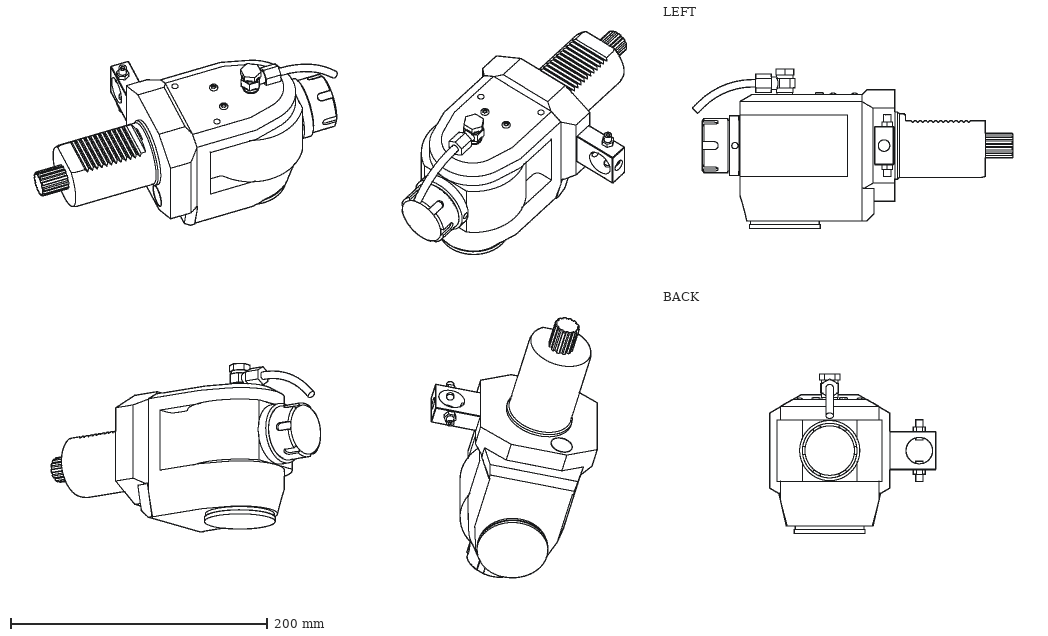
import cadquery as cq
import math


flange_half_width = 47.0
flange_half_height = 43.65
flange_corner_x = 22.4
flange_corner_z = 29.3
flange_depth = 25.6
round_recess_diameter = 17.0
round_recess_depth = 0.4
round_recess_x = 18.3
round_recess_z = -32.0

body_half_width = 38.5
body_top = 40.0
body_bevel_start = 34.6
body_taper_start = -39.0
body_bottom = -58.9
body_rear = 10.0
body_wall_end = 75.5
nose_half_width = 32.8
nose_start = 95.6
nose_end = 121.1
bevel_angle = 60.0
taper_angle = 15.0

foot_rear = 16.2
foot_top = -33.0
foot_chamfer = 5.7
foot_slope_angle = 12.8

spindle_y = 86.0
housing_radius = 41.0
housing_half_height = 24.0
recess_rear = 37.0
recess_floor_x = 23.5
recess_fillet = 5.0
cover_diameter = 55.4
cover_step_diameter = 54.0
cover_step_height = 2.7
cover_bottom = -64.9

ring_diameter = 47.0
ring_start = 121.8
ring_end = 129.2
ring_hole_diameter = 4.9
ring_hole_depth = 4.0
ring_hole_y = 125.0
neck_diameter = 40.0
nut_diameter = 42.6
nut_start = 130.4
nut_end = 150.6
nut_chamfer_length = 1.4
nut_chamfer_depth = 2.0
nut_slot_count = 6
nut_slot_width = 6.2
nut_slot_depth = 2.0
nut_slot_length = 12.6

collar_diameter = 52.6
collar_length = 2.2
collar_cone_length = 1.2
shank_diameter = 50.0
shank_length = 70.6
shank_tip_length = 3.0
shank_tip_depth = 0.8
flat_height = 19.6
flat_start = 8.4
relief_height = 24.2
relief_start = 7.4
rack_groove_count = 12
rack_first_groove = 13.8
rack_pitch = 4.0
rack_groove_depth = 1.5
spline_diameter = 19.6
spline_root_diameter = 16.6
spline_teeth = 12
spline_gap_top_share = 0.64
spline_gap_root_share = 0.36
spline_end = 92.4
spline_chamfer = 0.8

bracket_end = 83.0
bracket_half_height = 15.0
bracket_front = 0.9
bracket_back = 16.0
bracket_chamfer = 0.5
bracket_bore = 20.6
bracket_bore_x = -70.0
cross_hole_diameter = 9.0
cross_hole_y = 8.5
cross_hole_end_x = -57.0
clamp_screw_y = 6.0
clamp_screw_diameter = 5.8
clamp_screw_tip = 8.2
clamp_screw_head = 24.3
clamp_nut_corners = 9.6
clamp_nut_height = 3.6
clamp_socket_corners = 3.2
clamp_socket_depth = 2.5

fitting_base_diameter = 13.0
fitting_seat_diameter = 12.3
fitting_seat_height = 1.3
fitting_hex_corners = 16.3
fitting_hex_bottom = 45.0
fitting_hex_top = 52.6
fitting_cap_bottom = 55.0
fitting_top = 60.0
hose_z = 48.7
hose_stem_diameter = 10.0
hose_nut_start = 96.5
hose_nut_end = 108.8
hose_nut_corners = 14.6
hose_diameter = 6.0
hose_bend_start = 111.0
hose_bend_radius = 57.2
hose_bend_angle = 45.0
hose_tip_length = 6.65

top_screw_x = 10.7
top_screw_y = 59.0
top_screw_diameter = 6.4
top_screw_height = 1.3
top_screw_socket = 3.6
top_screw_rounding = 0.8
pin_diameter = 5.0
pin_height = 1.2
pin_places = [(23.4, 48.3), (-23.4, 31.5)]


def cylinder_y(diameter, start, end, x=0.0, z=0.0):
    """Round bar along +Y between two Y positions."""
    plane = cq.Plane(origin=(x, start, z), xDir=(1, 0, 0), normal=(0, 1, 0))
    return cq.Workplane(plane).circle(diameter / 2).extrude(end - start)


def cylinder_z(diameter, bottom, top, x=0.0, y=0.0):
    """Round bar along +Z between two heights."""
    return cq.Workplane(origin=(x, y, bottom)).circle(diameter / 2).extrude(top - bottom)


def hexagon_z(corners, bottom, top, x, y, turn=0.0):
    """Hexagonal bar along +Z; its corners lie on X unless it is turned."""
    bar = cq.Workplane(origin=(x, y, bottom)).polygon(6, corners).extrude(top - bottom)
    return bar.rotate((x, y, 0), (x, y, 1), turn)


def block(x_range, y_range, z_range):
    """Box given by its limits along each axis."""
    size = [limits[1] - limits[0] for limits in (x_range, y_range, z_range)]
    corner = cq.Vector(x_range[0], y_range[0], z_range[0])
    return cq.Workplane(cq.Solid.makeBox(*size, pnt=corner))


def make_flange():
    """Octagonal flange, beveled at 45 degrees toward the head until it meets the head's walls."""
    w = flange_half_width
    h = flange_half_height
    cx = flange_corner_x
    cz = flange_corner_z
    outline = [(-cx, h), (cx, h), (w, cz), (w, -cz), (cx, -h), (-cx, -h), (-w, -cz), (-w, cz)]
    flange = cq.Workplane("XZ").polyline(outline).close().extrude(-flange_depth)

    side_bevel = w - body_half_width
    side_depth = flange_depth - side_bevel
    side_limit = (
        cq.Workplane("XY")
        .polyline([
            (-w, 0), (w, 0), (w, side_depth), (w - side_bevel, flange_depth),
            (side_bevel - w, flange_depth), (-w, side_depth),
        ])
        .close()
        .extrude(h, both=True)
    )
    top_bevel = h - body_top
    top_depth = flange_depth - top_bevel
    top_limit = (
        cq.Workplane("YZ")
        .polyline([
            (0, -h), (0, h), (top_depth, h), (flange_depth, h - top_bevel),
            (flange_depth, top_bevel - h), (top_depth, -h),
        ])
        .close()
        .extrude(w, both=True)
    )
    round_recess = cylinder_y(round_recess_diameter, 0, round_recess_depth, round_recess_x, round_recess_z)
    return flange.intersect(side_limit).intersect(top_limit).cut(round_recess)


def head_outline(height):
    """Plan outline of the head: straight walls, converging walls and a round nose."""
    return (
        cq.Workplane(origin=(0, 0, height))
        .moveTo(-body_half_width, body_rear)
        .lineTo(body_half_width, body_rear)
        .lineTo(body_half_width, body_wall_end)
        .lineTo(nose_half_width, nose_start)
        .threePointArc((0, nose_end), (-nose_half_width, nose_start))
        .lineTo(-body_half_width, body_wall_end)
        .close()
    )


def make_body():
    """Head body with a beveled top and a tapered lower part."""
    middle = head_outline(body_taper_start).extrude(body_bevel_start - body_taper_start)
    top = head_outline(body_bevel_start).extrude(body_top - body_bevel_start, taper=bevel_angle)
    lower = head_outline(body_taper_start).extrude(
        body_bottom - body_taper_start, taper=taper_angle
    )
    behind_head = block(
        (-flange_half_width, flange_half_width), (0, flange_depth), (body_bottom, body_top)
    )
    return middle.union(top).union(lower).cut(behind_head)


def make_foot():
    """Tapered foot that carries the head's lower sides down below the flange."""
    slope = math.tan(math.radians(foot_slope_angle))
    top_half = body_half_width + (foot_top - body_taper_start) * slope
    bottom_half = body_half_width - (body_taper_start - body_bottom) * slope
    foot = (
        cq.Workplane("XZ", origin=(0, foot_rear, 0))
        .polyline([
            (-top_half, foot_top), (top_half, foot_top),
            (bottom_half, body_bottom), (-bottom_half, body_bottom),
        ])
        .close()
        .extrude(foot_rear - flange_depth)
    )
    return foot.faces("<Z").edges("<Y").chamfer(foot_chamfer)


def make_housing():
    """Round spindle housing, flattened where the collet ring seats."""
    housing = cylinder_z(2 * housing_radius, -housing_half_height, housing_half_height, 0, spindle_y)
    r = housing_radius
    h = housing_half_height
    return housing.intersect(block((-r, r), (spindle_y - r, nose_end), (-h, h)))


def make_side_recess():
    """Pocket in the -X wall, running from its rear end up to the housing's round wall."""
    h = housing_half_height
    pocket = block((-housing_radius - 1, -recess_floor_x), (recess_rear, spindle_y), (-h, h))
    pocket = pocket.cut(cylinder_z(2 * housing_radius, -h, h, 0, spindle_y))
    return pocket.edges("|Z and >X").fillet(recess_fillet)


def make_cover():
    """Stepped round cover under the spindle."""
    step_bottom = body_bottom - cover_step_height
    step = cylinder_z(cover_step_diameter, step_bottom, body_bottom, 0, spindle_y)
    return step.union(cylinder_z(cover_diameter, cover_bottom, step_bottom, 0, spindle_y))


def make_nut_slot(angle):
    """Spanner slot with a round inner end, turned about the Y axis."""
    radius = nut_diameter / 2
    round_y = nut_end - nut_slot_length + nut_slot_width / 2
    bottom = radius - nut_slot_depth
    slot = block((-nut_slot_width / 2, nut_slot_width / 2), (round_y, nut_end), (bottom, radius))
    slot = slot.union(cylinder_z(nut_slot_width, bottom, radius, 0, round_y))
    return slot.rotate((0, 0, 0), (0, 1, 0), angle)


def make_collet_nut():
    """Collet nut and a ring with a radial hole, both on a narrower neck."""
    r = nut_diameter / 2
    nut = (
        cq.Workplane("XY")
        .polyline([
            (0, nut_start), (r, nut_start), (r, nut_end - nut_chamfer_length),
            (r - nut_chamfer_depth, nut_end), (0, nut_end),
        ])
        .close()
        .revolve(360, (0, 0, 0), (0, 1, 0))
    )
    pitch = 360 / nut_slot_count
    for index in range(nut_slot_count):
        nut = nut.cut(make_nut_slot(pitch * (index + 0.5)))

    ring = cylinder_y(ring_diameter, ring_start, ring_end)
    ring_hole = (
        cq.Workplane("YZ", origin=(-ring_diameter / 2, ring_hole_y, 0))
        .circle(ring_hole_diameter / 2)
        .extrude(ring_hole_depth)
    )
    neck = cylinder_y(neck_diameter, nose_end, nut_start)
    return ring.cut(ring_hole).union(neck).union(nut)


def make_shank():
    """Round shank with a collar, a stepped flat and V-grooves across the flat."""
    r = shank_diameter / 2
    collar_r = collar_diameter / 2
    shank = (
        cq.Workplane("XY")
        .polyline([
            (0, 0), (collar_r, 0), (collar_r, -collar_length),
            (r, -collar_length - collar_cone_length), (r, shank_tip_length - shank_length),
            (r - shank_tip_depth, -shank_length), (0, -shank_length),
        ])
        .close()
        .revolve(360, (0, 0, 0), (0, 1, 0))
    )
    shank = shank.cut(block((-r, r), (-shank_length, -flat_start), (flat_height, r)))
    shank = shank.cut(block((-r, r), (-flat_start, -relief_start), (relief_height, r)))
    d = rack_groove_depth
    for index in range(rack_groove_count):
        y = -rack_first_groove - index * rack_pitch
        groove = (
            cq.Workplane("YZ")
            .polyline([(y - d, flat_height), (y, flat_height - d), (y + d, flat_height)])
            .close()
            .extrude(r, both=True)
        )
        shank = shank.cut(groove)
    return shank


def make_spline():
    """Toothed drive end of the shank."""
    bar = cylinder_y(spline_diameter, -spline_end, -shank_length).faces("<Y").chamfer(spline_chamfer)
    pitch = 2 * math.pi / spline_teeth
    outer = spline_diameter / 2
    root = spline_root_diameter / 2
    half_top = spline_gap_top_share * pitch / 2
    half_root = spline_gap_root_share * pitch / 2
    gap = (
        cq.Workplane("XZ", origin=(0, -shank_length, 0))
        .polyline([
            (root * math.sin(-half_root), root), (root * math.sin(half_root), root),
            (outer * math.sin(half_top), outer), (outer * math.sin(-half_top), outer),
        ])
        .close()
        .extrude(spline_end - shank_length)
    )
    for index in range(spline_teeth):
        bar = bar.cut(gap.rotate((0, 0, 0), (0, 1, 0), index * 360 / spline_teeth))
    return bar


def make_clamp_screw():
    """Upper clamp screw with its lock nut, reaching into the bracket's bore."""
    x = bracket_bore_x
    y = clamp_screw_y
    screw = cylinder_z(clamp_screw_diameter, clamp_screw_tip, clamp_screw_head, x, y)
    socket_bottom = clamp_screw_head - clamp_socket_depth
    screw = screw.cut(hexagon_z(clamp_socket_corners, socket_bottom, clamp_screw_head, x, y))
    nut_top = bracket_half_height + clamp_nut_height
    return screw.union(hexagon_z(clamp_nut_corners, bracket_half_height, nut_top, x, y))


def make_bracket():
    """Clamp bracket with a bore, a cross hole and two opposed clamp screws."""
    h = bracket_half_height
    bracket = block((-bracket_end, -flange_half_width), (bracket_front, bracket_back), (-h, h))
    bracket = bracket.edges("|X").chamfer(bracket_chamfer)
    bracket = bracket.faces("<X").chamfer(bracket_chamfer)
    bracket = bracket.cut(cylinder_y(bracket_bore, bracket_front, bracket_back, bracket_bore_x))
    cross_hole = (
        cq.Workplane("YZ", origin=(-bracket_end, cross_hole_y, 0))
        .circle(cross_hole_diameter / 2)
        .extrude(bracket_end + cross_hole_end_x)
    )
    screw = make_clamp_screw()
    return bracket.cut(cross_hole).union(screw).union(screw.mirror("XY"))


def make_coolant_fitting():
    """Banjo fitting on the top face with a bent hose over the collet nut."""
    seat_top = body_top + fitting_seat_height
    seat = cylinder_z(fitting_seat_diameter, body_top, seat_top, 0, spindle_y)
    fitting = seat.union(cylinder_z(fitting_base_diameter, seat_top, fitting_cap_bottom, 0, spindle_y))
    middle = hexagon_z(fitting_hex_corners, fitting_hex_bottom, fitting_hex_top, 0, spindle_y, 90)
    cap = hexagon_z(fitting_hex_corners, fitting_cap_bottom, fitting_top, 0, spindle_y)
    stem = cylinder_y(hose_stem_diameter, spindle_y, hose_nut_start, 0, hose_z)
    nut_plane = cq.Plane(origin=(0, hose_nut_start, hose_z), xDir=(0, 0, 1), normal=(0, 1, 0))
    hose_nut = cq.Workplane(nut_plane).polygon(6, hose_nut_corners).extrude(hose_nut_end - hose_nut_start)
    fitting = fitting.union(middle).union(cap).union(stem).union(hose_nut)

    def bend_point(angle):
        turn = math.radians(angle)
        y = hose_bend_start + hose_bend_radius * math.sin(turn)
        return (y, hose_z - hose_bend_radius * (1 - math.cos(turn)))

    end_turn = math.radians(hose_bend_angle)
    bend_end = bend_point(hose_bend_angle)
    tip = (
        bend_end[0] + hose_tip_length * math.cos(end_turn),
        bend_end[1] - hose_tip_length * math.sin(end_turn),
    )
    path = (
        cq.Workplane("YZ")
        .moveTo(hose_nut_end, hose_z)
        .lineTo(hose_bend_start, hose_z)
        .threePointArc(bend_point(hose_bend_angle / 2), bend_end)
        .lineTo(*tip)
    )
    section_plane = cq.Plane(origin=(0, hose_nut_end, hose_z), xDir=(1, 0, 0), normal=(0, 1, 0))
    hose = cq.Workplane(section_plane).circle(hose_diameter / 2).sweep(path)
    return fitting.union(hose)


def make_top_screw(x):
    """Low rounded screw head with a hexagon socket."""
    head_top = body_top + top_screw_height
    head = cylinder_z(top_screw_diameter, body_top, head_top, x, top_screw_y)
    head = head.faces(">Z").edges().fillet(top_screw_rounding)
    return head.cut(hexagon_z(top_screw_socket, body_top, head_top, x, top_screw_y))


def make_pin_end(x, y):
    """Domed end of a pin standing slightly above the top face."""
    radius = pin_diameter / 2
    dome_radius = (radius**2 + pin_height**2) / (2 * pin_height)
    center_z = body_top + pin_height - dome_radius
    ball = cq.Workplane(origin=(x, y, center_z)).sphere(dome_radius)
    return ball.intersect(cylinder_z(pin_diameter, body_top, body_top + pin_height, x, y))


side_recess = make_side_recess()
result = make_body().union(make_foot()).union(make_flange()).union(make_housing())
result = result.cut(side_recess).cut(side_recess.mirror("YZ"))
result = result.union(make_cover()).union(make_collet_nut())
result = result.union(make_shank()).union(make_spline()).union(make_bracket())
result = result.union(make_coolant_fitting())
for screw_x in (-top_screw_x, top_screw_x):
    result = result.union(make_top_screw(screw_x))
for pin_x, pin_y in pin_places:
    result = result.union(make_pin_end(pin_x, pin_y))